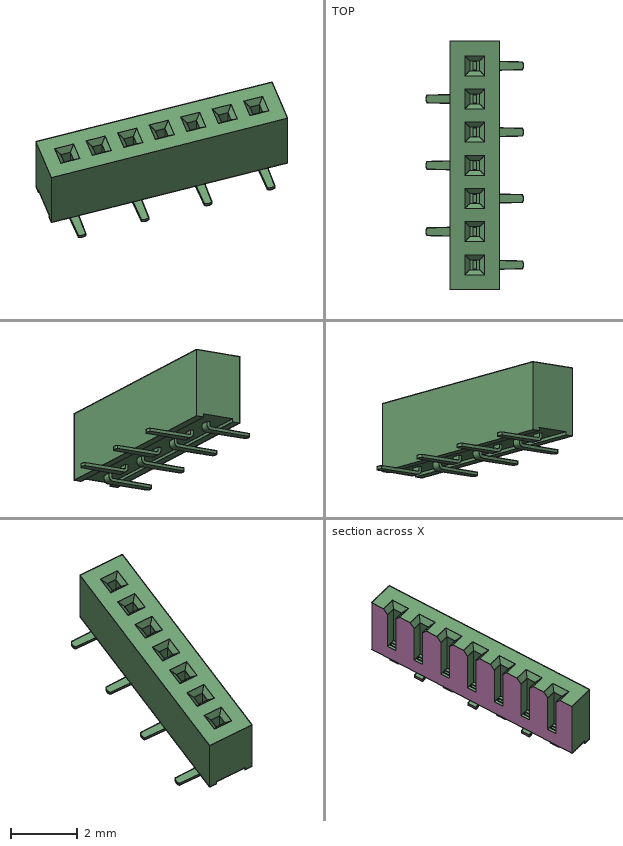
import cadquery as cq

length = 7.5
height = 2.25
lead_span = 2.95

body_width = 1.5
body_height = 2.1
groove_width = 1.005
groove_depth = 0.1

contact_count = 7
pitch = length / (contact_count + 0.5)

mouth_size = 0.6
bore_size = 0.3
mouth_depth = 0.165
bore_depth = 1.5
slot_width = 0.1
slot_floor_length = 0.255

metal_thickness = 0.1
contact_width = 0.3
tip_width = 0.24
bend_inner_radius = 0.05
tip_bulge = 0.04

body_bottom = height - body_height
groove_ceiling = body_bottom + groove_depth
bore_floor = height - bore_depth
mouth_slope = mouth_depth / ((mouth_size - bore_size) / 2)
slot_depth = mouth_slope * (bore_size - slot_floor_length) / 2
half_thickness = metal_thickness / 2
bend_outer_radius = bend_inner_radius + metal_thickness
bend_end = bend_outer_radius - half_thickness
lead_tip = lead_span / 2
tip_shoulder = lead_tip - tip_bulge


def make_housing():
    """Block with a groove along its whole underside, leaving two feet."""
    block = cq.Workplane("XY").box(body_width, length, body_height, centered=(True, True, False))
    groove = cq.Workplane("XY").box(groove_width, length, groove_depth, centered=(True, True, False))
    return block.cut(groove).translate((0, 0, body_bottom))


def make_socket():
    """Square bore with a tapered mouth and a narrow slot, sloping at both ends, in its floor."""
    mouth = (
        cq.Workplane("XY", origin=(0, 0, height))
        .rect(mouth_size, mouth_size)
        .workplane(offset=-mouth_depth)
        .rect(bore_size, bore_size)
        .loft(ruled=True)
    )
    bore = cq.Workplane("XY", origin=(0, 0, bore_floor)).rect(bore_size, bore_size).extrude(bore_depth)
    slot = (
        cq.Workplane("XY", origin=(0, 0, bore_floor))
        .rect(slot_width, bore_size)
        .workplane(offset=-slot_depth)
        .rect(slot_width, slot_floor_length)
        .loft(ruled=True)
    )
    return mouth.union(bore).union(slot)


def make_contact():
    """Bent strip: a stem under the housing turning into a flat lead along +X."""
    side_profile = (
        cq.Workplane("XZ")
        .moveTo(-half_thickness, groove_ceiling)
        .lineTo(-half_thickness, bend_outer_radius)
        .radiusArc((bend_end, 0), -bend_outer_radius)
        .lineTo(lead_tip, 0)
        .lineTo(lead_tip, metal_thickness)
        .lineTo(bend_end, metal_thickness)
        .radiusArc((half_thickness, bend_outer_radius), bend_inner_radius)
        .lineTo(half_thickness, groove_ceiling)
        .close()
        .extrude(contact_width / 2, both=True)
    )
    plan_outline = (
        cq.Workplane("XY")
        .moveTo(-half_thickness, -contact_width / 2)
        .lineTo(bend_end, -contact_width / 2)
        .lineTo(tip_shoulder, -tip_width / 2)
        .threePointArc((lead_tip, 0), (tip_shoulder, tip_width / 2))
        .lineTo(bend_end, contact_width / 2)
        .lineTo(-half_thickness, contact_width / 2)
        .close()
        .extrude(groove_ceiling)
    )
    return side_profile.intersect(plan_outline)


result = make_housing()
socket = make_socket()
contact = make_contact()

for index in range(contact_count):
    y = (index - (contact_count - 1) / 2) * pitch
    turn = 180 * (index % 2)
    turned_contact = contact.rotate((0, 0, 0), (0, 0, 1), turn)
    result = result.cut(socket.translate((0, y, 0)))
    result = result.union(turned_contact.translate((0, y, 0)))